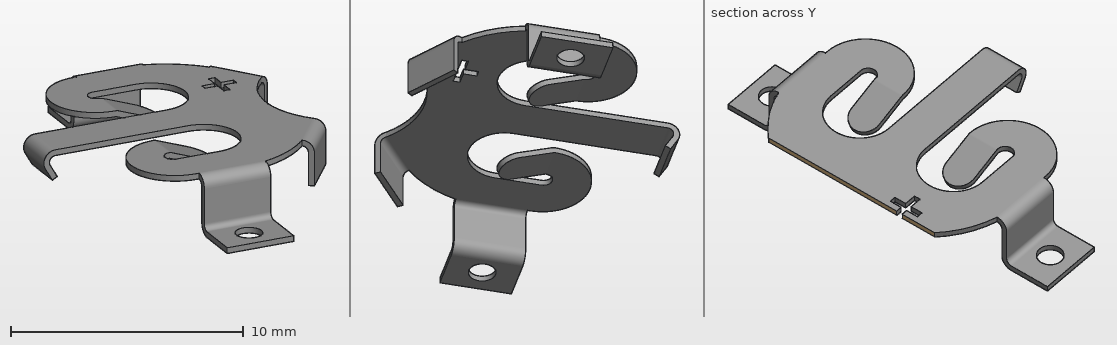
import cadquery as cq
import math

THICKNESS = 0.27
INNER_BEND = 0.27
OUTER_BEND = INNER_BEND + THICKNESS
HEIGHT = 2.7

PLATE_HALF_WIDTH = 6.08
SHOULDER_RADIUS = 5.3
FINGER_NOTCH_RADIUS = 3.7

OVERALL_WIDTH = 17.78
FOOT_WIDTH = 3.175
HOLE_DIAMETER = 1.19
HOLE_SPACING = 15.48

TANG_WIDTH = 2.54
TANG_FOLD_DISTANCE = 6.0
TANG_DIRECTION = math.degrees(math.atan2(4, 3))
TANG_DROP = 2.09

TONGUE_HALF_WIDTH = 1.01
TONGUE_FOLD_Y = -6.01
HOOK_ANGLE = 120
HOOK_LENGTH = 0.67

CURL_CENTRE_Y = -1.72
CURL_INNER_X = 1.86
SLOT_RADIUS = 1.6
SLOT_CENTRE_Y = 0.31
SLOT_OUTER_X = TONGUE_HALF_WIDTH + 2 * SLOT_RADIUS
FLAP_WIDTH = 1.56
FLAP_OUTER_X = CURL_INNER_X + FLAP_WIDTH
FLAP_TIP_Y = 0.62
FLAP_ANGLE = 20.3
FLAP_INNER_BEND = 0.01

PLUS_CENTRE = (-2.66, 3.58)
PLUS_LENGTH = 1.5
PLUS_STROKE = 0.3


def unit(angle):
    return cq.Vector(math.cos(math.radians(angle)), math.sin(math.radians(angle)), 0)


def bent_strip(fold_middle, heading, width, steps, inner_bend=INNER_BEND):
    """Strip leaving the plate at fold_middle; steps are (bend angle down, straight length)."""
    plane = cq.Plane(
        origin=(fold_middle.x, fold_middle.y, HEIGHT - THICKNESS / 2),
        xDir=unit(heading).toTuple(),
        normal=unit(heading - 90).toTuple(),
    )
    bend = inner_bend + THICKNESS / 2
    u, v, slope = 0.0, 0.0, 0.0
    path = cq.Workplane(plane).moveTo(u, v)
    for turn, length in steps:
        side = math.copysign(bend, turn)
        end_slope = slope - math.radians(turn)
        mid_slope = (slope + end_slope) / 2
        centre_u = u + side * math.sin(slope)
        centre_v = v - side * math.cos(slope)
        middle = (centre_u - side * math.sin(mid_slope), centre_v + side * math.cos(mid_slope))
        u = centre_u - side * math.sin(end_slope)
        v = centre_v + side * math.cos(end_slope)
        path = path.threePointArc(middle, (u, v))
        slope = end_slope
        if length > 0:
            u += length * math.cos(slope)
            v += length * math.sin(slope)
            path = path.lineTo(u, v)
    section = cq.Plane(origin=plane.origin, xDir=plane.zDir, normal=plane.xDir)
    return cq.Workplane(section).rect(width, THICKNESS).sweep(path)


def half_plate():
    """The +X half of the flat plate, including half of the tongue."""
    fold_middle = unit(TANG_DIRECTION) * TANG_FOLD_DISTANCE
    along_fold = unit(TANG_DIRECTION - 90) * (TANG_WIDTH / 2)
    fold_outer = fold_middle + along_fold
    fold_inner = fold_middle - along_fold
    notch_bottom = (
        fold_inner.y + math.sqrt(FINGER_NOTCH_RADIUS**2 - fold_inner.x**2) - FINGER_NOTCH_RADIUS
    )
    slot_end_radius = (SLOT_OUTER_X - FLAP_OUTER_X) / 2
    curl_radius = (PLATE_HALF_WIDTH - CURL_INNER_X) / 2
    return (
        cq.Workplane("XY", origin=(0, 0, HEIGHT - THICKNESS))
        .moveTo(0, TONGUE_FOLD_Y)
        .lineTo(TONGUE_HALF_WIDTH, TONGUE_FOLD_Y)
        .lineTo(TONGUE_HALF_WIDTH, SLOT_CENTRE_Y)
        .threePointArc(
            (TONGUE_HALF_WIDTH + SLOT_RADIUS, SLOT_CENTRE_Y + SLOT_RADIUS),
            (SLOT_OUTER_X, SLOT_CENTRE_Y),
        )
        .lineTo(SLOT_OUTER_X, CURL_CENTRE_Y)
        .threePointArc(
            (SLOT_OUTER_X - slot_end_radius, CURL_CENTRE_Y - slot_end_radius),
            (FLAP_OUTER_X, CURL_CENTRE_Y),
        )
        .lineTo(CURL_INNER_X, CURL_CENTRE_Y)
        .threePointArc(
            (CURL_INNER_X + curl_radius, CURL_CENTRE_Y - curl_radius),
            (PLATE_HALF_WIDTH, CURL_CENTRE_Y),
        )
        .lineTo(PLATE_HALF_WIDTH, FOOT_WIDTH / 2)
        .radiusArc((fold_outer.x, fold_outer.y), -SHOULDER_RADIUS)
        .lineTo(fold_inner.x, fold_inner.y)
        .radiusArc((0, notch_bottom), FINGER_NOTCH_RADIUS)
        .close()
        .extrude(THICKNESS)
    )


def foot():
    """Z-shaped foot on the +X side with its soldering hole."""
    wall_height = HEIGHT - 2 * (INNER_BEND + THICKNESS / 2) - THICKNESS
    sole_start = PLATE_HALF_WIDTH + OUTER_BEND + INNER_BEND
    sole_length = OVERALL_WIDTH / 2 - sole_start
    strip = bent_strip(
        cq.Vector(PLATE_HALF_WIDTH, 0, 0), 0, FOOT_WIDTH, [(90, wall_height), (-90, sole_length)]
    )
    hole = cq.Workplane("XY").center(HOLE_SPACING / 2, 0).circle(HOLE_DIAMETER / 2).extrude(THICKNESS)
    return strip.cut(hole)


def tang():
    """Vertical stop wall on the +X side."""
    fold_middle = unit(TANG_DIRECTION) * TANG_FOLD_DISTANCE
    return bent_strip(fold_middle, TANG_DIRECTION, TANG_WIDTH, [(90, TANG_DROP - OUTER_BEND)])


def flap():
    """Round-ended contact flap sloping down from the end of the +X spring arm."""
    middle_x = CURL_INNER_X + FLAP_WIDTH / 2
    crease = bent_strip(
        cq.Vector(middle_x, CURL_CENTRE_Y, 0), 90, FLAP_WIDTH, [(FLAP_ANGLE, 0)], FLAP_INNER_BEND
    )
    angle = math.radians(FLAP_ANGLE)
    crease_radius = FLAP_INNER_BEND + THICKNESS
    start_y = CURL_CENTRE_Y + crease_radius * math.sin(angle)
    start_z = HEIGHT - crease_radius * (1 - math.cos(angle))
    tip = (FLAP_TIP_Y - start_y) / math.cos(angle)
    half = FLAP_WIDTH / 2
    slope = cq.Plane(
        origin=(middle_x, start_y, start_z),
        xDir=(1, 0, 0),
        normal=(0, math.sin(angle), math.cos(angle)),
    )
    blade = (
        cq.Workplane(slope)
        .moveTo(-half, 0)
        .lineTo(half, 0)
        .lineTo(half, tip - half)
        .threePointArc((0, tip), (-half, tip - half))
        .close()
        .extrude(-THICKNESS)
    )
    return crease.union(blade)


def hook():
    """Curled-under end of the tongue."""
    return bent_strip(
        cq.Vector(0, TONGUE_FOLD_Y, 0), -90, 2 * TONGUE_HALF_WIDTH, [(HOOK_ANGLE, HOOK_LENGTH)]
    )


def plus_mark():
    """Cutter for the plus sign."""
    base = cq.Workplane("XY", origin=(*PLUS_CENTRE, HEIGHT - THICKNESS))
    across = base.rect(PLUS_LENGTH, PLUS_STROKE).extrude(THICKNESS)
    upright = base.rect(PLUS_STROKE, PLUS_LENGTH).extrude(THICKNESS)
    return across.union(upright)


half = half_plate().union(foot()).union(tang()).union(flap())
result = half.union(half.mirror("YZ")).union(hook()).cut(plus_mark())